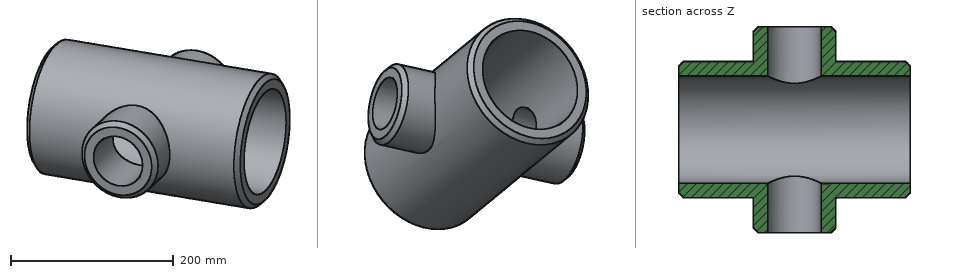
import cadquery as cq

run_length = 285.5
run_diameter = 168.5
run_bore = 132.0

branch_span = 254
branch_diameter = 102.0
branch_bore = 65.7

bevel = 6.0


def beveled_bar(plane, diameter, length):
    """Solid round bar centred on the origin, beveled at both ends."""
    bar = cq.Workplane(plane).circle(diameter / 2).extrude(length / 2, both=True)
    return bar.faces("|X or |Y").edges().chamfer(bevel)


def bore(plane, diameter, length):
    """Round cutter centred on the origin."""
    return cq.Workplane(plane).circle(diameter / 2).extrude(length / 2, both=True)


body = beveled_bar("YZ", run_diameter, run_length)
body = body.union(beveled_bar("XZ", branch_diameter, branch_span))

body = body.cut(bore("YZ", run_bore, run_length))
result = body.cut(bore("XZ", branch_bore, branch_span))